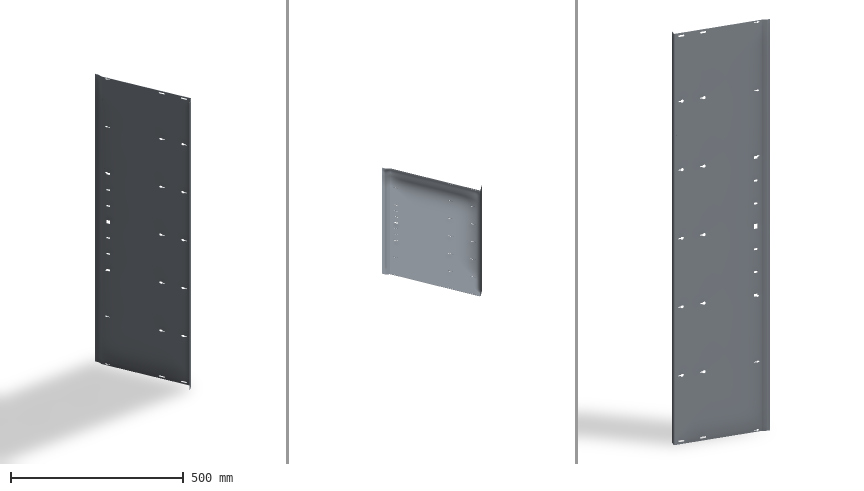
import cadquery as cq

width = 295.0
length = 1344.0
sheet = 1.0
bend_radius = 2.4
bend_outer_radius = bend_radius + sheet
lip_width = 10.2
slope_width = 13.2
step_height = 3.9
flange_flat = 15.0
panel_start = lip_width + slope_width
depth = step_height + bend_outer_radius + flange_flat
cut_depth = 2 * depth

keyhole_columns = [202.0, 269.0]
keyhole_pitch = length / 6
keyhole_head = 10.1
keyhole_neck = 3.6
keyhole_reach = 12.0
end_slot_length = 19.0
end_slot_height = 5.8
end_slot_inset = 9.8

window_x = panel_start + 19.0
window_pitch = keyhole_pitch / 3
windows_per_side = 3
window_width = 11.0
window_height = 6.3
middle_window_height = 16.0

pilot_x = panel_start + 13.0
pilot_rows = [228.0, 444.0, 667.0]
pilot_diameter = 6.6
pilot_slot_length = 16.0
pilot_slot_height = 3.0
pilot_slot_offset = 3.0


def bent_sheet():
    panel_back = -step_height
    panel_front = panel_back - sheet
    bend_start = width - bend_outer_radius
    bend_end = panel_back - bend_outer_radius
    flange_inside = width - sheet
    profile = (
        cq.Workplane("XY")
        .workplane(offset=-length / 2)
        .moveTo(0, 0)
        .lineTo(lip_width, 0)
        .lineTo(panel_start, panel_back)
        .lineTo(bend_start, panel_back)
        .radiusArc((width, bend_end), bend_outer_radius)
        .lineTo(width, -depth)
        .lineTo(flange_inside, -depth)
        .lineTo(flange_inside, bend_end)
        .radiusArc((bend_start, panel_front), -bend_radius)
        .lineTo(panel_start, panel_front)
        .lineTo(lip_width, -sheet)
        .lineTo(0, -sheet)
        .close()
    )
    return profile.extrude(length)


def at(x, z):
    return cq.Workplane("XZ").center(x, z)


def round_cutter(x, z, diameter):
    return at(x, z).circle(diameter / 2).extrude(cut_depth, both=True)


def slot_cutter(x, z, slot_length, slot_height):
    return at(x, z).slot2D(slot_length, slot_height).extrude(cut_depth, both=True)


def window_cutter(x, z, window_height):
    return at(x, z).rect(window_width, window_height).extrude(cut_depth, both=True)


def keyhole_cutter(x, z):
    neck_center = x + keyhole_reach / 2
    neck = slot_cutter(neck_center, z, keyhole_reach, keyhole_neck)
    return round_cutter(x, z, keyhole_head).union(neck)


def pilot_cutter(x, z):
    slot = slot_cutter(x + pilot_slot_offset, z, pilot_slot_length, pilot_slot_height)
    return round_cutter(x, z, pilot_diameter).union(slot)


def right_column_cutters():
    end_slot_z = length / 2 - end_slot_inset
    cutters = []
    for x in keyhole_columns:
        for row in range(-2, 3):
            cutters.append(keyhole_cutter(x, row * keyhole_pitch))
        end_slot_x = x + keyhole_reach - end_slot_length / 2
        for side in (-1, 1):
            cutters.append(slot_cutter(end_slot_x, side * end_slot_z, end_slot_length, end_slot_height))
    return cutters


def left_column_cutters():
    cutters = [window_cutter(window_x, 0, middle_window_height)]
    for side in (-1, 1):
        for step in range(1, windows_per_side + 1):
            cutters.append(window_cutter(window_x, side * step * window_pitch, window_height))
        for z in pilot_rows:
            cutters.append(pilot_cutter(pilot_x, side * z))
    return cutters


result = bent_sheet()
for cutter in right_column_cutters() + left_column_cutters():
    result = result.cut(cutter)